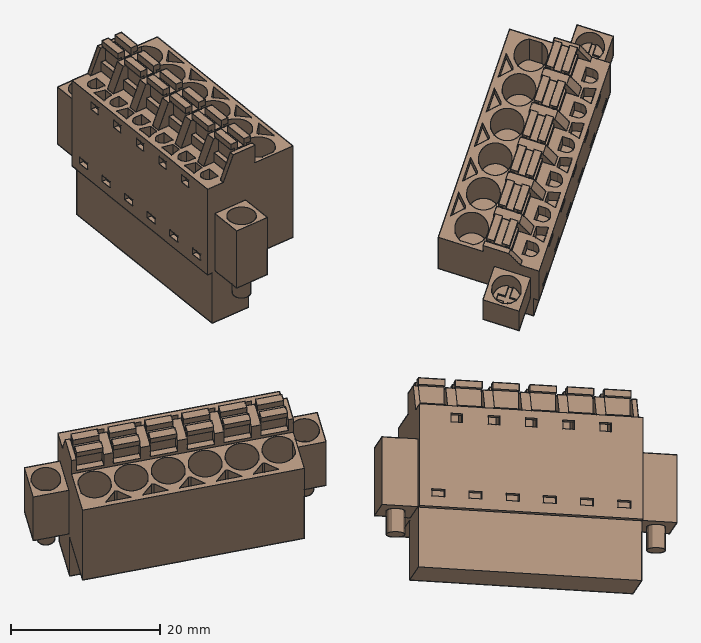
import cadquery as cq


pole_count = 6
pitch = 5.08
total_length = 40.3
housing_length = 30.5
pole_centres = [(i - (pole_count - 1) / 2) * pitch for i in range(pole_count)]
pole_boundaries = [x + pitch / 2 for x in pole_centres[:-1]]

housing_depth = 14.2
plug_front = 0.75
plug_back = 6.8
housing_bottom = 8.38
deck_top = 22.65
rear_top = 23.6
ridge_top = 26.5
slope_foot = 2.6
ridge_front = 4.25
ridge_back = 7.9

latch_length = (pole_count - 1) * pitch
latch_points = [
    (10.15, housing_bottom),
    (9.45, 5.4),
    (8.38, 3.83),
    (7.85, 4.75),
    (8.5, 5.4),
    (8.5, 7.13),
    (8.1, housing_bottom),
]

channel_width = 3.75
channel_front = 4.35
channel_floor = 24.15
button_width = 3.63
button_centre = 6.05
button_top = 27.7
button_head_bottom = 26.8
button_head_depth = 3.25
button_stem_depth = 2.0
button_slot_width = 1.1
button_slot_floor = 26.63

entry_radius = 2.25
entry_centre = 10.35
entry_depth = 10.05
entry_end_wall = 0.5

relief_back = 13.57
relief_front = 12.1
relief_back_width = 3.45
relief_front_width = 0.32
relief_depth = 2.25

probe_width = 1.97
probe_back = 2.9
probe_arc_centre = 1.95
probe_depth = 4.03

window_top = 21.6
window_bottom = 20.4
window_width = 1.57
marker_front = 0.73
marker_back = 2.3
marker_front_width = 2.18
marker_back_width = 1.35
marker_depth = 4.03

recess_width = 1.77
recess_bottom = 9.83
recess_height = 1.0
recess_depth = 0.7

flange_front = 1.2
flange_depth = 5.1
flange_bottom = 8.58
flange_top = 18.1
flange_length = (total_length - housing_length) / 2
screw_x = housing_length / 2 + pitch / 2
screw_y = flange_front + flange_depth / 2
bore_radius = 1.97
bore_floor = 11.7

screw_head_radius = 1.9
screw_head_height = 1.6
shank_radius = 1.25
screw_bottom = 5.3
slot_width = 0.6
cross_width = 0.8
cross_length = 2.6
drive_depth = 0.6


def box(x_centre, width, y_min, y_max, z_min, z_max):
    """Box centred on x_centre, between the given Y and Z limits."""
    solid = cq.Workplane("XY").box(width, y_max - y_min, z_max - z_min, centered=(True, False, False))
    return solid.translate((x_centre, y_min, z_min))


def extrude_along_x(points, length):
    """Extrude a closed (y, z) outline along X, centred on X = 0."""
    return cq.Workplane("YZ").polyline(points).close().extrude(length / 2, both=True)


def tapered_pocket(x_centre, y_a, width_a, y_b, width_b, top, depth):
    """Cutter with a trapezoid outline, width_a at y_a and width_b at y_b, sunk from top."""
    outline = [
        (x_centre - width_a / 2, y_a),
        (x_centre + width_a / 2, y_a),
        (x_centre + width_b / 2, y_b),
        (x_centre - width_b / 2, y_b),
    ]
    return cq.Workplane("XY").workplane(offset=top - depth).polyline(outline).close().extrude(depth)


def make_shell():
    """Housing profile with the narrow plug below, the stepped ridge on top and the latch."""
    profile = [
        (plug_front, 0),
        (plug_back, 0),
        (plug_back, housing_bottom),
        (housing_depth, housing_bottom),
        (housing_depth, rear_top),
        (ridge_back, rear_top),
        (ridge_back, ridge_top),
        (ridge_front, ridge_top),
        (slope_foot, deck_top),
        (0, deck_top),
        (0, housing_bottom),
        (plug_front, housing_bottom),
    ]
    latch = extrude_along_x(latch_points, latch_length)
    return extrude_along_x(profile, housing_length).union(latch)


def make_flange(side):
    """Screw flange on one end; side is -1 or 1."""
    x_centre = side * (housing_length + flange_length) / 2
    return box(x_centre, flange_length, flange_front, flange_front + flange_depth, flange_bottom, flange_top)


def screw_hole(side):
    """Stepped hole: bore for the head and a clearance-free hole for the shank."""
    flange_face = cq.Workplane("XY", origin=(side * screw_x, screw_y, flange_bottom))
    shank_hole = flange_face.circle(shank_radius).extrude(bore_floor - flange_bottom)
    head_bore = flange_face.workplane(offset=bore_floor - flange_bottom).circle(bore_radius)
    return shank_hole.union(head_bore.extrude(flange_top - bore_floor))


def button_channel(x_centre):
    """Channel across the ridge: stepped down to the deck at the front, open at the back."""
    seat = box(x_centre, channel_width, channel_front, ridge_back, channel_floor, ridge_top)
    front = box(x_centre, channel_width, slope_foot, channel_front, deck_top, ridge_top)
    return seat.union(front)


def wire_entry(x_centre):
    """Blind round hole, kept clear of the end walls."""
    floor = rear_top - entry_depth
    hole = cq.Workplane("XY", origin=(x_centre, entry_centre, floor)).circle(entry_radius).extrude(entry_depth)
    inner_length = housing_length - 2 * entry_end_wall
    return hole.intersect(box(0, inner_length, 0, housing_depth, floor, rear_top))


def probe_opening(x_centre):
    """Blind D-shaped opening in the deck."""
    half = probe_width / 2
    return (
        cq.Workplane("XY", origin=(x_centre, 0, deck_top - probe_depth))
        .moveTo(-half, probe_back)
        .lineTo(-half, probe_arc_centre)
        .threePointArc((0, probe_arc_centre - half), (half, probe_arc_centre))
        .lineTo(half, probe_back)
        .close()
        .extrude(probe_depth)
    )


def front_recess(x_centre):
    return box(x_centre, recess_width, 0, recess_depth, recess_bottom, recess_bottom + recess_height)


def rear_relief(x_centre):
    return tapered_pocket(
        x_centre, relief_front, relief_front_width, relief_back, relief_back_width, rear_top, relief_depth
    )


def marker_pocket(x_centre):
    """Tapered deck pocket with a window through the front wall."""
    pocket = tapered_pocket(
        x_centre, marker_front, marker_front_width, marker_back, marker_back_width, deck_top, marker_depth
    )
    window = box(x_centre, window_width, 0, marker_front, window_bottom, window_top)
    return pocket.union(window)


def make_housing():
    body = make_shell()
    for side in (-1, 1):
        body = body.union(make_flange(side)).cut(screw_hole(side))
    for x in pole_centres:
        body = body.cut(button_channel(x)).cut(wire_entry(x)).cut(probe_opening(x)).cut(front_recess(x))
    for x in pole_boundaries:
        body = body.cut(rear_relief(x)).cut(marker_pocket(x))
    return body


def make_button(x_centre):
    """T-shaped push button with a screwdriver slot along its head."""

    def layer(depth, z_min, z_max):
        return box(x_centre, button_width, button_centre - depth / 2, button_centre + depth / 2, z_min, z_max)

    stem = layer(button_stem_depth, channel_floor, button_head_bottom)
    head = layer(button_head_depth, button_head_bottom, button_top)
    slot = layer(button_slot_width, button_slot_floor, button_top)
    return stem.union(head).cut(slot)


def make_screw(side):
    """Flange screw: cylindrical head with a combined slot and cross drive, and a plain shank."""
    x = side * screw_x
    head_top = bore_floor + screw_head_height
    drive_floor = head_top - drive_depth
    shank = cq.Workplane("XY", origin=(x, screw_y, screw_bottom)).circle(shank_radius)
    head = cq.Workplane("XY", origin=(x, screw_y, bore_floor)).circle(screw_head_radius)
    slot = box(
        x, 2 * screw_head_radius, screw_y - slot_width / 2, screw_y + slot_width / 2, drive_floor, head_top
    )
    cross = box(
        x, cross_width, screw_y - cross_length / 2, screw_y + cross_length / 2, drive_floor, head_top
    )
    screw = shank.extrude(bore_floor - screw_bottom).union(head.extrude(screw_head_height))
    return screw.cut(slot).cut(cross)


housing = make_housing()
buttons = [make_button(x) for x in pole_centres]
screws = [make_screw(side) for side in (-1, 1)]

result = cq.Compound.makeCompound(
    [
        housing.val(),
        *[button.val() for button in buttons],
        *[screw.val() for screw in screws],
    ]
)